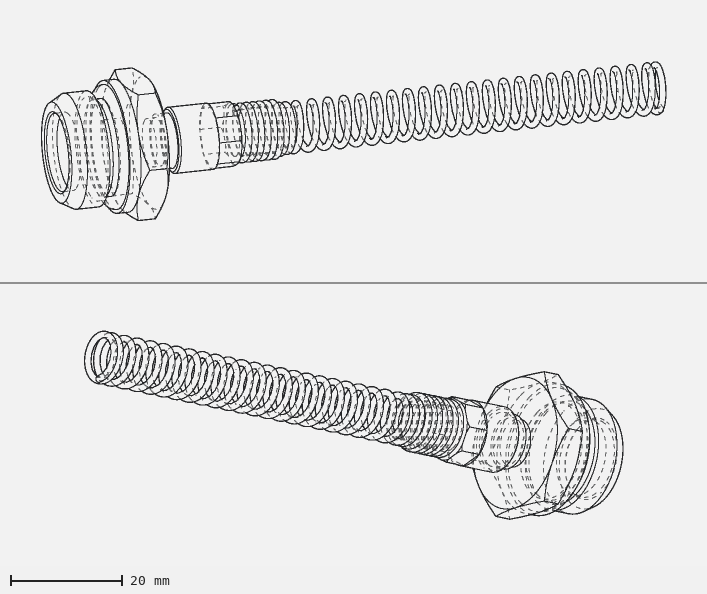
import cadquery as cq
import math

overall_length = 114.0

plug_radius = 21.0 / 2
plug_rim_radius = 18.2 / 2
plug_chamfer_end = 2.5
plug_end = 6.7
bore_radius = 7.1
bore_depth = 2.3
bore_chamfer = 0.3
undercut_radius = 17.7 / 2
undercut_taper_length = 1.1
undercut_taper_angle = 28.0

bead_start = 8.7
bead_radius = 11.3
flange_start = 10.0
hex_start = 12.1
hex_end = 17.4
hex_sides = 6
hex_across_corners = 27.7
hex_corner_radius = hex_across_corners / 2
flange_radius = hex_corner_radius * math.cos(math.pi / hex_sides)
hex_chamfer_angle = 30.0

neck_radius = 8.8 / 2
neck_end = 19.0
shoulder_radius = 10.0 / 2
sleeve_start = 21.2

sleeve_radius = 12.0 / 2
sleeve_chamfer = 0.3
octagon_start = 28.7
octagon_sides = 8
octagon_turn = -7.5
sleeve_end = 33.1
stub_radius = 4.1
stub_end = 40.5

wire_radius = 0.59
coil_gap = 0.02
coil_radius = 8.3 / 2
wide_coil_radius = 4.8
wide_turns = 6.25
narrowing_turns = 0.5
tight_base_turns = 8.4
pitch_change_turns = 0.5
open_turns = 22.1
tight_tip_turns = 1.0
points_per_turn = 16


def disc(radius, start, end):
    """Cylinder about the Y axis from Y = start to Y = end."""
    return cq.Workplane("XZ", origin=(0, start, 0)).circle(radius).extrude(start - end)


def prism(sides, corner_radius, start, end, turn=0.0):
    """Regular prism about the Y axis, with one corner turned from +X by `turn` degrees."""
    outline = cq.Workplane("XZ", origin=(0, start, 0)).polygon(sides, 2 * corner_radius)
    return outline.extrude(start - end).rotate((0, 0, 0), (0, 1, 0), turn)


def revolve_profile(points):
    """Revolve a closed outline of (radius, Y) points about the Y axis."""
    outline = cq.Workplane("XY").polyline(points).close()
    return outline.revolve(360, (0, 0, 0), (0, 1, 0))


def make_plug():
    taper_height = undercut_taper_length * math.tan(math.radians(undercut_taper_angle))
    return revolve_profile([
        (0, bore_depth),
        (bore_radius, bore_depth),
        (bore_radius, bore_chamfer),
        (bore_radius + bore_chamfer, 0),
        (plug_rim_radius, 0),
        (plug_radius, plug_chamfer_end),
        (plug_radius, plug_end),
        (undercut_radius + taper_height, plug_end),
        (undercut_radius, plug_end + undercut_taper_length),
        (undercut_radius, flange_start),
        (0, flange_start),
    ])


def make_sealing_bead():
    """Ring of round section sunk into the undercut core and halfway into the flange."""
    section_radius = flange_start - bead_start
    centre_radius = bead_radius - section_radius
    section = cq.Workplane("XY").moveTo(centre_radius, flange_start).circle(section_radius)
    return section.revolve(360, (0, 0, 0), (0, 1, 0))


def make_hexagon():
    chamfer_length = (hex_corner_radius - flange_radius) * math.tan(math.radians(hex_chamfer_angle))
    chamfer_envelope = revolve_profile([
        (0, hex_start),
        (flange_radius, hex_start),
        (hex_corner_radius, hex_start + chamfer_length),
        (hex_corner_radius, hex_end - chamfer_length),
        (flange_radius, hex_end),
        (0, hex_end),
    ])
    return prism(hex_sides, hex_corner_radius, hex_start, hex_end).intersect(chamfer_envelope)


def make_sleeve():
    round_part = disc(sleeve_radius, sleeve_start, octagon_start)
    round_part = round_part.faces("<Y").chamfer(sleeve_chamfer)
    octagon = prism(octagon_sides, sleeve_radius, octagon_start, sleeve_end, octagon_turn)
    tip_envelope = disc(sleeve_radius, octagon_start, sleeve_end).faces(">Y").chamfer(sleeve_chamfer)
    return round_part.union(octagon.intersect(tip_envelope))


def make_fitting():
    fitting = make_plug().union(make_sealing_bead())
    fitting = fitting.union(disc(flange_radius, flange_start, hex_start))
    fitting = fitting.union(make_hexagon())
    fitting = fitting.union(disc(neck_radius, hex_end, neck_end))
    fitting = fitting.union(disc(shoulder_radius, neck_end, sleeve_start))
    fitting = fitting.union(make_sleeve())
    return fitting.union(disc(stub_radius, sleeve_end, stub_end))


tight_pitch = 2 * wire_radius + coil_gap
spring_start = sleeve_end + wire_radius
spring_end = overall_length - wire_radius
total_turns = tight_base_turns + open_turns + tight_tip_turns + 2 * pitch_change_turns
full_open_turns = open_turns + pitch_change_turns
pitch_increase = (spring_end - spring_start - total_turns * tight_pitch) / full_open_turns
opening_start = tight_base_turns
closing_start = tight_base_turns + pitch_change_turns + open_turns


def ramp_integral(turn, start, length):
    """Integral up to `turn` of a ramp that rises from 0 to 1 between start and start + length."""
    rise = min(max(turn - start, 0), length)
    return rise ** 2 / (2 * length) + max(turn - start - length, 0)


def spring_point(turn):
    """Point on the wire's centre line; the coils are left-handed and begin at +Z."""
    opened = ramp_integral(turn, opening_start, pitch_change_turns)
    closed = ramp_integral(turn, closing_start, pitch_change_turns)
    along = spring_start + tight_pitch * turn + pitch_increase * (opened - closed)
    narrowing = min(max((turn - wide_turns) / narrowing_turns, 0), 1)
    smooth_narrowing = (1 - math.cos(math.pi * narrowing)) / 2
    radius = wide_coil_radius + (coil_radius - wide_coil_radius) * smooth_narrowing
    angle = 2 * math.pi * turn
    return cq.Vector(-radius * math.sin(angle), along, radius * math.cos(angle))


def make_spring():
    steps = round(total_turns * points_per_turn)
    points = [spring_point(total_turns * step / steps) for step in range(steps + 1)]
    centre_line = cq.Edge.makeSpline(points)
    wire_section = cq.Workplane(cq.Plane(points[0], (0, 0, 1), centre_line.tangentAt(0)))
    path = cq.Workplane("XY").newObject([centre_line])
    return wire_section.circle(wire_radius).sweep(path, isFrenet=True)


fitting = make_fitting()
spring = make_spring()
result = cq.Compound.makeCompound([fitting.solids().val(), spring.val()])